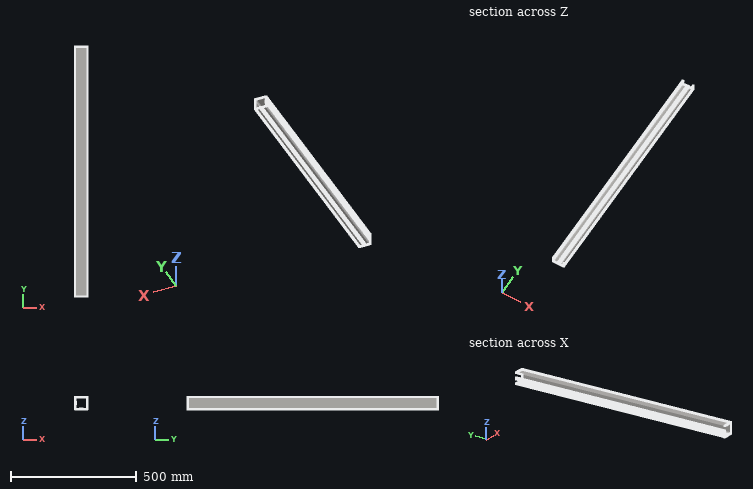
import cadquery as cq

length = 1000.0
side = 50.0
wall = 2.0
corner_radius = 3.0
inner_radius = corner_radius - wall

rib_width = 8.0
rib_height = 2.0

inner_side = side - 2 * wall
inner_face = inner_side / 2


def square_bar(width, radius):
    """Square bar along Y with rounded long edges."""
    return cq.Workplane("XY").box(width, length, width).edges("|Y").fillet(radius)


def strip_on_floor(width, z_bottom, z_top):
    """Full-length rectangular strip centred on the -Z wall."""
    height = z_top - z_bottom
    return cq.Workplane("XY").box(width, length, height).translate((0, 0, z_bottom + height / 2))


def turn_to_left_wall(body):
    """Carry a body from the -Z wall to the -X wall."""
    return body.rotate((0, 0, 0), (0, 1, 0), 90)


tube = square_bar(side, corner_radius).cut(square_bar(inner_side, inner_radius))

rib = strip_on_floor(rib_width, -inner_face - wall / 2, -inner_face + rib_height)
result = tube.union(rib).union(turn_to_left_wall(rib))